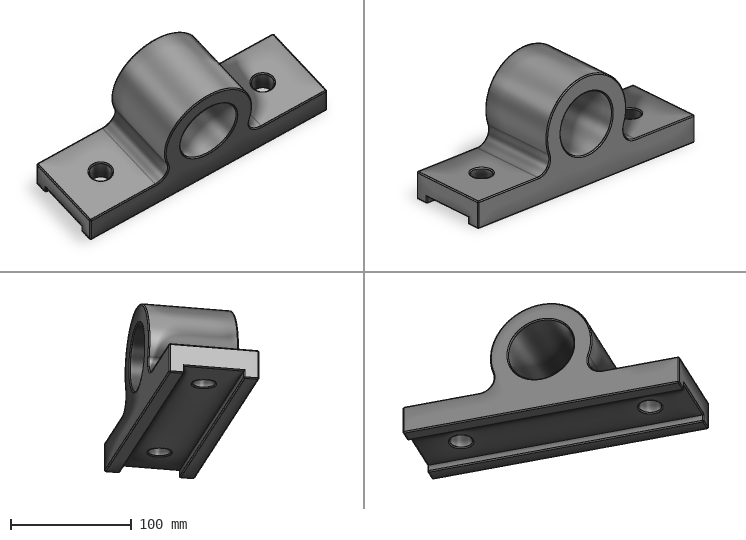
import cadquery as cq
import math

width = 76.3
length = 241.3
height = 101.5
base_thickness = 25.3
boss_radius = 44.5
bore_diameter = 57.2
fillet_radius = 12.8
hole_diameter = 19.0
hole_spacing = 165.0
slot_width = 50.5
slot_depth = 6.3
edge_break = 1.01

boss_center_z = height - boss_radius

blend_center_z = base_thickness + fillet_radius
center_distance = boss_radius + fillet_radius
center_drop = boss_center_z - blend_center_z
blend_center_y = math.sqrt(center_distance**2 - center_drop**2)
blend_angle = math.atan2(center_drop, blend_center_y)
boss_tangent_y = boss_radius * math.cos(blend_angle)
boss_tangent_z = boss_center_z - boss_radius * math.sin(blend_angle)

mid_angle = (math.pi - blend_angle + 1.5 * math.pi) / 2
blend_mid_y = blend_center_y + fillet_radius * math.cos(mid_angle)
blend_mid_z = blend_center_z + fillet_radius * math.sin(mid_angle)


def make_body():
    """Base and round boss as one profile in YZ, extruded across the width."""
    return (
        cq.Workplane("YZ")
        .moveTo(-length / 2, 0)
        .lineTo(length / 2, 0)
        .lineTo(length / 2, base_thickness)
        .lineTo(blend_center_y, base_thickness)
        .threePointArc((blend_mid_y, blend_mid_z), (boss_tangent_y, boss_tangent_z))
        .threePointArc((0, height), (-boss_tangent_y, boss_tangent_z))
        .threePointArc((-blend_mid_y, blend_mid_z), (-blend_center_y, base_thickness))
        .lineTo(-length / 2, base_thickness)
        .close()
        .extrude(width / 2, both=True)
    )


def make_bore():
    return (
        cq.Workplane("YZ")
        .center(0, boss_center_z)
        .circle(bore_diameter / 2)
        .extrude(width / 2, both=True)
    )


def make_bolt_holes():
    return (
        cq.Workplane("XY")
        .pushPoints([(0, -hole_spacing / 2), (0, hole_spacing / 2)])
        .circle(hole_diameter / 2)
        .extrude(base_thickness)
    )


def make_slot():
    """Channel running the full length of the underside."""
    return cq.Workplane("XY").box(slot_width, length, slot_depth, centered=(True, True, False))


def break_edges(body):
    """Chamfer the rims of the sides, ends and feet, and both rims of each bolt hole."""
    outer_rims = body.faces("<X or >X or <Y or >Y or <Z").edges()
    hole_rims = body.faces("|Z").edges("%CIRCLE")
    return outer_rims.add(hole_rims).chamfer(edge_break)


bracket = make_body().cut(make_bore()).cut(make_slot()).cut(make_bolt_holes())
result = break_edges(bracket)